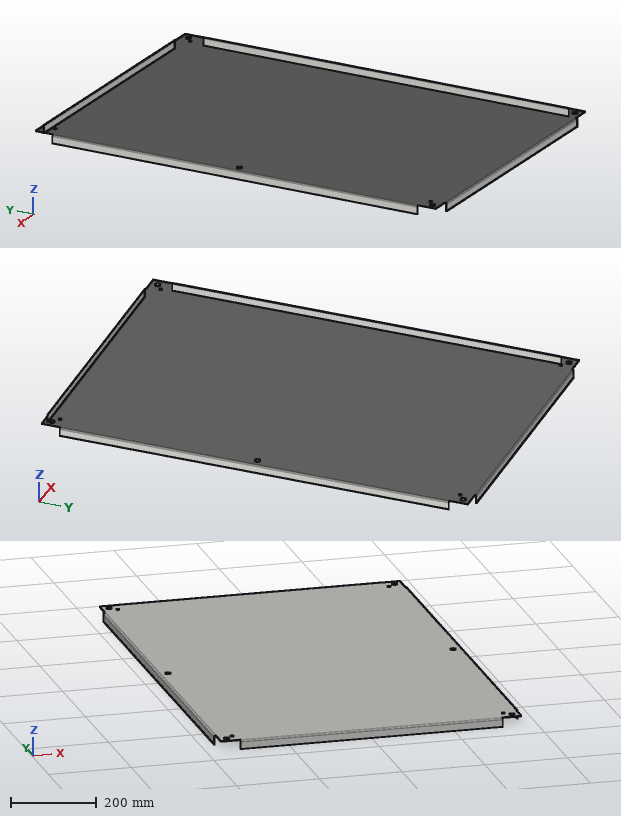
import cadquery as cq

width = 735.0
length = 1072.0
height = 23.0
sheet = 2.0
bend_radius = 4.0

corner_relief = 50.0

mount_diameter = 13.0
mount_inset = 23.0
pin_diameter = 7.2
pin_inset_x = 40.0
pin_inset_y = 36.0

side_flange_run = length - 2 * corner_relief
end_flange_run = width - 2 * corner_relief


def folded_channel(span, run):
    """Flat sheet with a flange folded down on each side; span along X, run along Y."""
    outer = (
        cq.Workplane("XY")
        .box(span, run, height, centered=(True, True, False))
        .edges("|Y and >Z")
        .fillet(bend_radius)
    )
    inner = (
        cq.Workplane("XY")
        .box(span - 2 * sheet, run, height - sheet, centered=(True, True, False))
        .edges("|Y and >Z")
        .fillet(bend_radius - sheet)
    )
    return outer.cut(inner)


def corner_points(inset_x, inset_y):
    """Four mirrored positions at the given insets from the outer faces."""
    x = width / 2 - inset_x
    y = length / 2 - inset_y
    return [(-x, -y), (x, -y), (-x, y), (x, y)]


def through_holes(points, diameter):
    """Vertical cutters that pass through the flat sheet."""
    return cq.Workplane("XY").pushPoints(points).circle(diameter / 2).extrude(height)


plate = (
    cq.Workplane("XY")
    .workplane(offset=height - sheet)
    .rect(width - 2 * bend_radius, length - 2 * bend_radius)
    .extrude(sheet)
)

side_flanges = folded_channel(width, side_flange_run)
end_flanges = folded_channel(length, end_flange_run).rotate((0, 0, 0), (0, 0, 1), 90)

mount_x = width / 2 - mount_inset
mount_points = corner_points(mount_inset, mount_inset) + [(-mount_x, 0), (mount_x, 0)]
pin_points = corner_points(pin_inset_x, pin_inset_y)

result = (
    plate.union(side_flanges)
    .union(end_flanges)
    .cut(through_holes(mount_points, mount_diameter))
    .cut(through_holes(pin_points, pin_diameter))
)